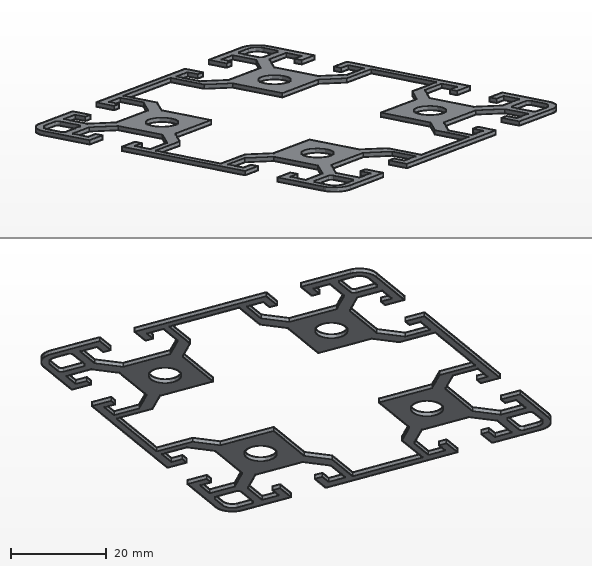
import cadquery as cq

side = 80.0
thickness = 1.0
corner_radius = 4.0
half_side = side / 2
slot_offset = side / 4

mouth_width = 8.3
lip_gap = 12.0
lip_depth = 4.6
flange_thickness = 2.0
slot_width = 20.0
slot_wall_depth = 8.0
slot_depth = 12.3

core_hole_diameter = 6.8
core_inner_depth = 27.4

outer_wall = 1.7
inner_web = 1.6
corner_web = 2.0
web_bend_depth = 10.3
tube_radius = 0.8


def place_on_four_sides(solid):
    """Combine four copies of a solid, turned by quarter turns about Z."""
    combined = solid
    for angle in (90, 180, 270):
        combined = combined.union(solid.rotate((0, 0, 0), (0, 0, 1), angle))
    return combined


def slot_cutter(centre_x):
    """T-slot opening through the +Y face."""
    half_outline = [
        (mouth_width / 2, 0),
        (mouth_width / 2, lip_depth),
        (lip_gap / 2, lip_depth),
        (lip_gap / 2, flange_thickness),
        (slot_width / 2, flange_thickness),
        (slot_width / 2, slot_wall_depth),
        (slot_width / 2 - (slot_depth - slot_wall_depth), slot_depth),
    ]
    right = [(centre_x + x, half_side - depth) for x, depth in half_outline]
    left = [(centre_x - x, half_side - depth) for x, depth in reversed(half_outline)]
    return cq.Workplane("XY").polyline(right + left).close().extrude(thickness)


def central_opening():
    """Cross-shaped opening: a square between the cores plus one arm towards each side."""
    core_face = half_side - core_inner_depth
    arm_half_width = slot_offset - slot_width / 2 - inner_web
    arm_end = half_side - outer_wall
    bend = half_side - web_bend_depth
    flank_start = bend - (core_face - arm_half_width)
    arm = (
        cq.Workplane("XY")
        .polyline([
            (core_face, 0),
            (core_face, flank_start),
            (arm_half_width, bend),
            (arm_half_width, arm_end),
            (-arm_half_width, arm_end),
            (-arm_half_width, bend),
            (-core_face, flank_start),
            (-core_face, 0),
        ])
        .close()
        .extrude(thickness)
    )
    return place_on_four_sides(arm)


def corner_tube():
    """Hollow in the +X +Y corner; its outermost edge follows the rounded profile corner."""
    tube_outer = half_side - outer_wall
    tube_inner = slot_offset + slot_width / 2 + corner_web
    tube_size = tube_outer - tube_inner
    tube_centre = (tube_outer + tube_inner) / 2
    return (
        cq.Workplane("XY")
        .center(tube_centre, tube_centre)
        .rect(tube_size, tube_size)
        .extrude(thickness)
        .edges("|Z and (<X or <Y)")
        .fillet(tube_radius)
        .edges(cq.selectors.NearestToPointSelector((half_side, half_side, thickness / 2)))
        .fillet(corner_radius - outer_wall)
    )


blank = cq.Workplane("XY").rect(side, side).extrude(thickness).edges("|Z").fillet(corner_radius)

core_holes = (
    cq.Workplane("XY")
    .rect(2 * slot_offset, 2 * slot_offset, forConstruction=True)
    .vertices()
    .circle(core_hole_diameter / 2)
    .extrude(thickness)
)

result = blank.cut(central_opening()).cut(core_holes).cut(place_on_four_sides(corner_tube()))
for slot_x in (-slot_offset, slot_offset):
    result = result.cut(place_on_four_sides(slot_cutter(slot_x)))